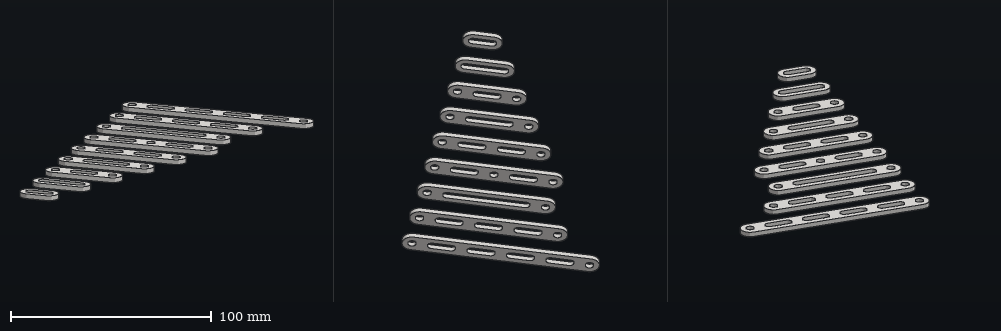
import cadquery as cq


SET_DEPTH = 170.0
THICKNESS = 2.5
HOLE_DIAMETER = 4.0
BAR_COUNT = 9

BAR_WIDTH = SET_DEPTH / (2 * BAR_COUNT - 1)
ROW_SPACING = 2 * BAR_WIDTH
STATION_PITCH = BAR_WIDTH


def station_block(first, last, width):
    """Round-ended block of full thickness, with its end arcs centred on two stations."""
    span = (last - first) * STATION_PITCH
    middle = (first + last) / 2 * STATION_PITCH
    return (
        cq.Workplane("XY")
        .center(middle, 0)
        .slot2D(span + width, width)
        .extrude(THICKNESS)
    )


def station_hole(station):
    """Round through-hole cutter centred on one station."""
    return (
        cq.Workplane("XY")
        .center(station * STATION_PITCH, 0)
        .circle(HOLE_DIAMETER / 2)
        .extrude(THICKNESS)
    )


def link_bar(row, last_station, holes=(), slots=()):
    """Link bar from station 0 to its last station, placed in its row along Y."""
    bar = station_block(0, last_station, BAR_WIDTH)
    for station in holes:
        bar = bar.cut(station_hole(station))
    for first, last in slots:
        bar = bar.cut(station_block(first, last, HOLE_DIAMETER))
    return bar.translate((0, row * ROW_SPACING, 0)).solids()


short_loop = link_bar(row=0, last_station=1, slots=[(0, 1)])
long_loop = link_bar(row=1, last_station=2, slots=[(0, 2)])

short_slot_bar = link_bar(row=2, last_station=3, holes=[0, 3], slots=[(1, 2)])
medium_slot_bar = link_bar(row=3, last_station=4, holes=[0, 4], slots=[(1, 3)])
long_slot_bar = link_bar(row=6, last_station=6, holes=[0, 6], slots=[(1, 5)])

two_slot_bar = link_bar(row=4, last_station=5, holes=[0, 5], slots=[(1, 2), (3, 4)])
three_slot_bar = link_bar(row=7, last_station=7, holes=[0, 7], slots=[(1, 2), (3, 4), (5, 6)])
four_slot_bar = link_bar(row=8, last_station=9, holes=[0, 9], slots=[(1, 2), (3, 4), (5, 6), (7, 8)])

middle_hole_bar = link_bar(row=5, last_station=6, holes=[0, 3, 6], slots=[(1, 2), (4, 5)])

result = cq.Compound.makeCompound([
    short_loop.val(),
    long_loop.val(),
    short_slot_bar.val(),
    medium_slot_bar.val(),
    two_slot_bar.val(),
    middle_hole_bar.val(),
    long_slot_bar.val(),
    three_slot_bar.val(),
    four_slot_bar.val(),
])